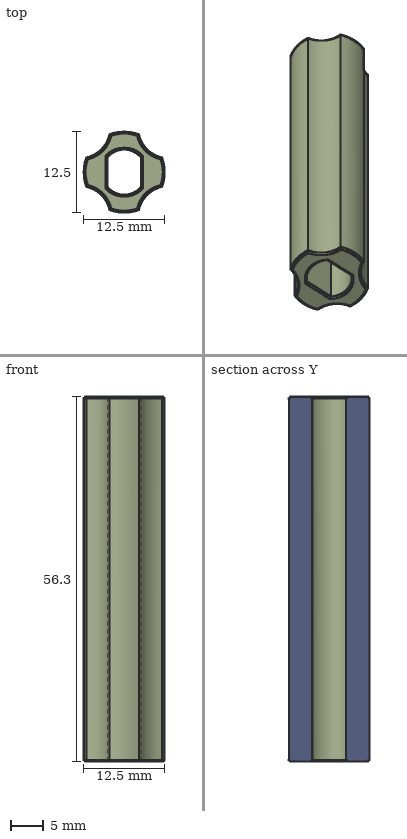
import cadquery as cq
import math

length = 56.25
outer_radius = 6.25
lobe_half_width = 2.25
groove_floor_radius = 4.95
end_chamfer = 0.3

bore_radius = 3.5
bore_flat_half_width = 2.6

lobe_count = 4
lobe_pitch = 360 / lobe_count
lobe_corner_angle = math.degrees(math.asin(lobe_half_width / outer_radius))


def polar_point(radius, angle):
    """Point at a radius and an angle in degrees from +X."""
    return (radius * math.cos(math.radians(angle)), radius * math.sin(math.radians(angle)))


def lobed_body():
    """Bar with convex lobes on the X and Y axes and concave grooves between them."""
    outline = cq.Workplane("XY").moveTo(*polar_point(outer_radius, -lobe_corner_angle))
    for index in range(lobe_count):
        lobe_angle = index * lobe_pitch
        outline = outline.threePointArc(
            polar_point(outer_radius, lobe_angle),
            polar_point(outer_radius, lobe_angle + lobe_corner_angle),
        )
        outline = outline.threePointArc(
            polar_point(groove_floor_radius, lobe_angle + lobe_pitch / 2),
            polar_point(outer_radius, lobe_angle + lobe_pitch - lobe_corner_angle),
        )
    return outline.close().extrude(length)


def double_flat_bore():
    """Through bore: a circle cut by two flats facing X."""
    flat_half_length = math.sqrt(bore_radius**2 - bore_flat_half_width**2)
    return (
        cq.Workplane("XY")
        .moveTo(bore_flat_half_width, -flat_half_length)
        .lineTo(bore_flat_half_width, flat_half_length)
        .threePointArc((0, bore_radius), (-bore_flat_half_width, flat_half_length))
        .lineTo(-bore_flat_half_width, -flat_half_length)
        .threePointArc((0, -bore_radius), (bore_flat_half_width, -flat_half_length))
        .close()
        .extrude(length)
    )


result = lobed_body().cut(double_flat_bore()).faces("<Z or >Z").edges().chamfer(end_chamfer)